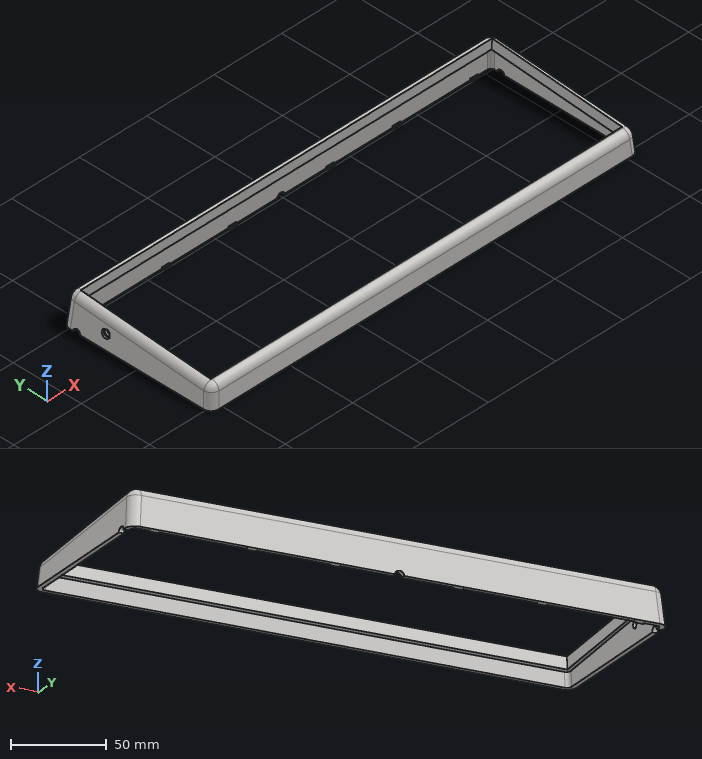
import cadquery as cq
import math

length = 317.7
depth = 109.3
height = 23.2

slope_angle = 4.2
draft_angle = 5.0
corner_radius = 5.7
rim_radius = 5.5

opening_side_inset = 6.5
opening_back_inset = 7.3
opening_front_inset = 6.7

wall_thickness = 3.2
lip_thickness = 7.5
inner_corner_radius = corner_radius - wall_thickness

notch_radius = 2.5
side_notch_inset = 10.5

hole_back_inset = 31.0
hole_height = 10.2
hole_radius = 2.0
counterbore_radius = 3.0
counterbore_depth = 1.3

tab_positions = (36.2, 85.5, 143.0)
tab_width = 5.7
tab_projection = 1.3
tab_height = 1.3

back = depth / 2
front = -depth / 2
left = -length / 2
slope = math.tan(math.radians(slope_angle))
crest = back - opening_back_inset
clearance = 2 * height


def top_height(y):
    """Height of the sloped top plane at depth position y."""
    return height + slope * (y - crest)


def drafted_block(inset, radius, top_offset):
    """Drafted block with rounded corners, cut off parallel to the sloped top."""
    block = (
        cq.Workplane("XY")
        .rect(length - 2 * inset, depth - 2 * inset)
        .extrude(clearance, taper=draft_angle)
        .edges("not(#Z)")
        .fillet(radius)
    )
    below_top = (
        cq.Workplane("YZ")
        .moveTo(-depth, 0)
        .lineTo(depth, 0)
        .lineTo(depth, top_height(depth) - top_offset)
        .lineTo(-depth, top_height(-depth) - top_offset)
        .close()
        .extrude(length, both=True)
    )
    return block.intersect(below_top)


def top_opening():
    """Sharp-cornered opening cut square to the sloped top."""
    opening_front = front + opening_front_inset
    middle = (crest + opening_front) / 2
    opening_length = (crest - opening_front) / math.cos(math.radians(slope_angle))
    return (
        cq.Workplane("XY")
        .box(length - 2 * opening_side_inset, opening_length, 2 * clearance)
        .rotate((0, 0, 0), (1, 0, 0), slope_angle)
        .translate((0, middle, top_height(middle)))
    )


def notch(plane, position, reach):
    """Half-round cutter centred on the bottom edge, running along the plane normal."""
    return cq.Workplane(plane).center(position, 0).circle(notch_radius).extrude(reach)


def side_hole():
    """Stepped hole entering the left wall square to its base."""
    axis_start = cq.Workplane("YZ", origin=(left, back - hole_back_inset, hole_height))
    wall_lean = hole_height * math.tan(math.radians(draft_angle))
    bore = axis_start.circle(hole_radius).extrude(2 * opening_side_inset)
    counterbore = axis_start.circle(counterbore_radius).extrude(wall_lean + counterbore_depth)
    return bore.union(counterbore)


def tab(x):
    """Tab at the foot of the back wall, rooted in the middle of the wall."""
    reach = wall_thickness / 2 + tab_projection
    root = back - wall_thickness / 2
    return (
        cq.Workplane("XY")
        .box(tab_width, reach, tab_height, centered=(True, False, False))
        .translate((x, root - reach, 0))
    )


result = drafted_block(0, corner_radius, 0).faces(">Z").edges().fillet(rim_radius)

result = result.cut(drafted_block(wall_thickness, inner_corner_radius, lip_thickness))
result = result.cut(top_opening())

result = result.cut(notch("YZ", back - side_notch_inset, length).translate((left, 0, 0)))
result = result.cut(notch("XZ", 0, 2 * opening_back_inset).translate((0, back, 0)))

result = result.cut(side_hole())

for offset in tab_positions:
    for x in (-offset, offset):
        result = result.union(tab(x))